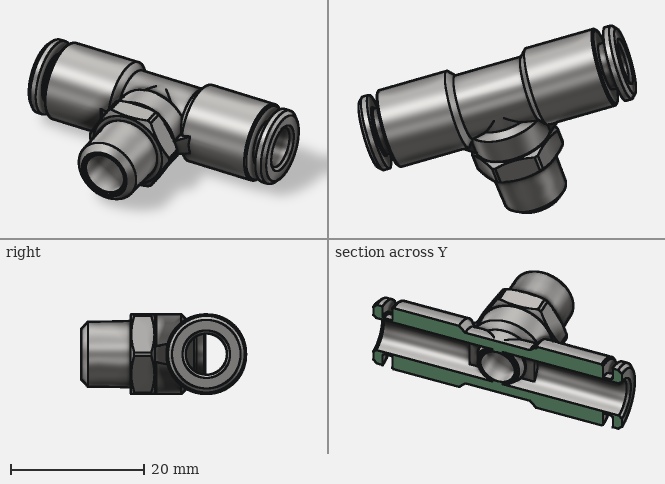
import cadquery as cq
import math

overlap = 0.4

run_half_length = 20.3
sleeve_radius = 6.0
sleeve_end = 17.2
sleeve_rim_chamfer = 0.25
waist_radius = 5.0
shoulder = sleeve_radius - waist_radius
waist_half_length = 5.28

collet_radius = 5.75
collet_thickness = 1.55
collet_chamfer = 0.6
collet_neck_radius = 3.57
neck_flare = 0.25

tube_radius = 3.1
tube_mouth_chamfer = 0.5
floor_drop = 1.83

hub_radius = sleeve_radius
hub_cone_end = 3.78
hub_cone_start = hub_cone_end - (hub_radius - waist_radius)
hub_end = 7.7
hub_rim_chamfer = 0.2

hex_flats = 2 * sleeve_radius
hex_sides = 6
hex_corners = hex_flats / math.cos(math.pi / hex_sides)
hex_corner_radius = 6.8
hex_face_radius = 5.85
hex_start = hub_end
hex_end = 11.35
hex_chamfer_angle = 30.0

branch_length = 18.8
stem_root_radius = 5.05
stem_tip_radius = 4.9
stem_chamfer_length = 1.0
stem_face_radius = 3.8

stem_bore_radius = 3.25
stem_mouth_chamfer = 0.25
branch_bore_radius = 2.75
bore_cone_half_angle = 60.0
insert_top = 0.12
insert_tip_radius = 3.4
insert_base_radius = 3.9
insert_chamfer = 0.25
insert_cone_end = 1.5

gusset_top = 5.9
gusset_outer_width = 3.1
gusset_inner_width = 2.35


def turned_about_x(half_profile):
    """Revolve (x, radius) points and their mirror image about the run axis."""
    mirrored = [(-x, radius) for x, radius in reversed(half_profile)]
    return (
        cq.Workplane("XY")
        .polyline(mirrored + half_profile)
        .close()
        .revolve(360, (0, 0, 0), (1, 0, 0))
    )


def turned_about_branch(profile):
    """Revolve (radius, distance towards -Y) points about the branch axis."""
    points = [(radius, -distance) for radius, distance in profile]
    return cq.Workplane("XY").polyline(points).close().revolve(360, (0, 0, 0), (0, 1, 0))


def run_body():
    collet_back = run_half_length - collet_thickness
    return turned_about_x([
        (waist_half_length, waist_radius),
        (waist_half_length + shoulder, sleeve_radius),
        (sleeve_end - sleeve_rim_chamfer, sleeve_radius),
        (sleeve_end, sleeve_radius - sleeve_rim_chamfer),
        (sleeve_end, collet_neck_radius),
        (collet_back - neck_flare, collet_neck_radius),
        (collet_back, collet_neck_radius + neck_flare),
        (collet_back, collet_radius),
        (run_half_length - collet_chamfer, collet_radius),
        (run_half_length, collet_radius - collet_chamfer),
        (run_half_length, 0),
    ])


def hub():
    return turned_about_branch([
        (0, 0),
        (waist_radius, 0),
        (waist_radius, hub_cone_start),
        (hub_radius, hub_cone_end),
        (hub_radius, hub_end - hub_rim_chamfer),
        (hub_radius - hub_rim_chamfer, hub_end),
        (hub_radius - hub_rim_chamfer, hex_start + overlap),
        (0, hex_start + overlap),
    ])


def hexagon():
    chamfer_length = (hex_corner_radius - hex_face_radius) * math.tan(math.radians(hex_chamfer_angle))
    prism = (
        cq.Workplane("XZ")
        .workplane(offset=hex_start)
        .polygon(hex_sides, hex_corners)
        .extrude(hex_end - hex_start)
    )
    blank = turned_about_branch([
        (0, hex_start),
        (hex_face_radius, hex_start),
        (hex_corner_radius, hex_start + chamfer_length),
        (hex_corner_radius, hex_end - chamfer_length),
        (hex_face_radius, hex_end),
        (0, hex_end),
    ])
    return prism.intersect(blank)


def stem():
    return turned_about_branch([
        (0, hex_end - overlap),
        (stem_root_radius, hex_end - overlap),
        (stem_root_radius, hex_end),
        (stem_tip_radius, branch_length - stem_chamfer_length),
        (stem_face_radius, branch_length),
        (0, branch_length),
    ])


def gussets():
    """45 degree ribs that get narrower towards the hub."""
    drop = hub_end - gusset_top
    foot = hub_radius - hub_rim_chamfer
    reach = foot + drop
    side = (
        cq.Workplane("XY")
        .polyline([(0, 0), (reach, 0), (reach, -gusset_top), (foot, -hub_end), (0, -hub_end)])
        .close()
        .extrude(gusset_outer_width / 2, both=True)
    )
    plan = (
        cq.Workplane("XZ")
        .polyline([
            (0, -gusset_inner_width / 2),
            (foot, -gusset_inner_width / 2),
            (reach, -gusset_outer_width / 2),
            (reach, gusset_outer_width / 2),
            (foot, gusset_inner_width / 2),
            (0, gusset_inner_width / 2),
        ])
        .close()
        .extrude(hub_end)
    )
    gusset = side.intersect(plan)
    return gusset.union(gusset.mirror("YZ"))


def run_passage():
    """Through passage with mouth chamfers and a flat floor across the waist."""
    bore = turned_about_x([
        (run_half_length - tube_mouth_chamfer, tube_radius),
        (run_half_length, tube_radius + tube_mouth_chamfer),
        (run_half_length, 0),
    ])
    floor = (
        cq.Workplane("XY")
        .box(2 * waist_half_length, waist_radius, 2 * waist_radius, centered=(True, False, True))
        .translate((0, -floor_drop - waist_radius, 0))
    )
    return bore.cut(floor)


def insert():
    return turned_about_branch([
        (0, insert_top),
        (insert_tip_radius - insert_chamfer, insert_top),
        (insert_tip_radius, insert_top + insert_chamfer),
        (insert_base_radius, insert_cone_end),
        (insert_base_radius, floor_drop + overlap),
        (0, floor_drop + overlap),
    ])


def branch_bore():
    cone_length = (stem_bore_radius - branch_bore_radius) / math.tan(math.radians(bore_cone_half_angle))
    return turned_about_branch([
        (0, insert_top),
        (branch_bore_radius, insert_top),
        (branch_bore_radius, hex_start),
        (stem_bore_radius, hex_start + cone_length),
        (stem_bore_radius, branch_length - stem_mouth_chamfer),
        (stem_bore_radius + stem_mouth_chamfer, branch_length),
        (0, branch_length),
    ])


outside = run_body().union(hub()).union(gussets()).union(hexagon()).union(stem())
result = outside.cut(run_passage()).union(insert()).cut(branch_bore())